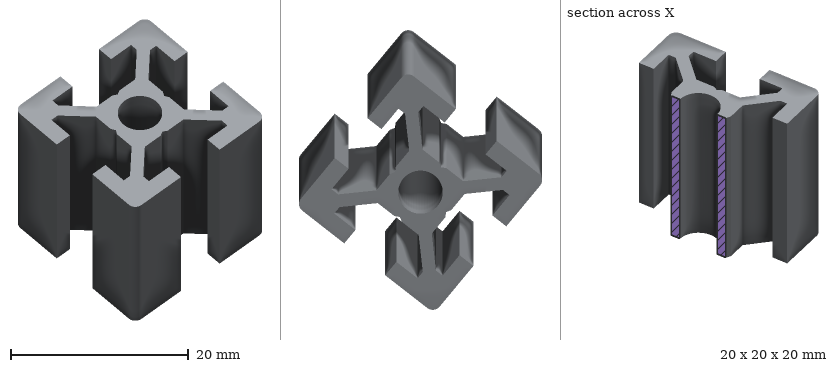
import cadquery as cq

side = 20.0
length = 20.0
corner_radius = 1.0
bore_diameter = 5.0

slot_opening = 5.9
lip_thickness = 2.0
slot_inner_width = 12.0
core_width = 8.0
slot_floor_width = 5.9

groove_width = 1.08
groove_depth = 0.3


def slot_cutter():
    """T-slot on the +Y side, open to the outside, with its floor V-groove."""
    outer_y = side / 2
    lip_y = outer_y - lip_thickness
    floor_y = core_width / 2
    half_opening = slot_opening / 2
    half_inner = slot_inner_width / 2
    half_floor = slot_floor_width / 2
    flank_top_y = floor_y + half_inner - half_floor

    right_half = [
        (0, floor_y - groove_depth),
        (groove_width / 2, floor_y),
        (half_floor, floor_y),
        (half_inner, flank_top_y),
        (half_inner, lip_y),
        (half_opening, lip_y),
        (half_opening, outer_y),
    ]
    left_half = [(-x, y) for x, y in reversed(right_half[1:])]
    return cq.Workplane("XY").polyline(right_half + left_half).close().extrude(length)


result = cq.Workplane("XY").rect(side, side).extrude(length)
result = result.edges("|Z").fillet(corner_radius)

slot = slot_cutter()
for angle in (0, 90, 180, 270):
    result = result.cut(slot.rotate((0, 0, 0), (0, 0, 1), angle))

bore = cq.Workplane("XY").circle(bore_diameter / 2).extrude(length)
result = result.cut(bore)